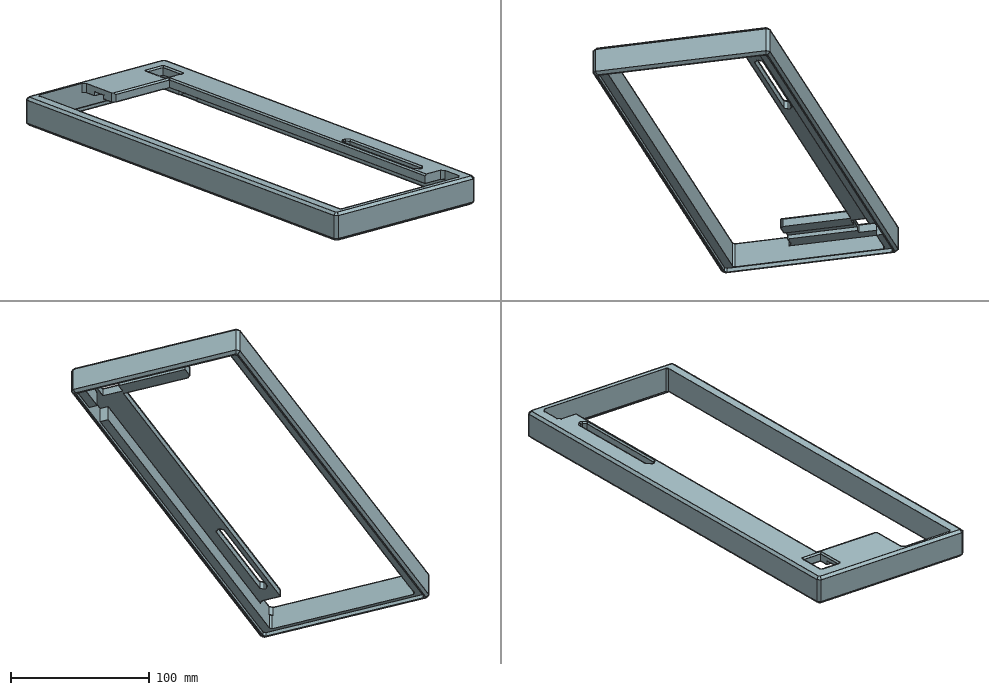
import cadquery as cq

LENGTH = 347.95
DEPTH = 132.87
HEIGHT = 21.5
HORIZONTAL_CHAMFER = 2.0
CORNER_CHAMFER = 2.2
TOP = HEIGHT / 2
BOTTOM = -TOP
RIGHT = LENGTH / 2
BACK = DEPTH / 2

LEFT_WALL = 3.9
RIGHT_WALL = 5.8
FRONT_WALL = 9.3
REAR_WALL = 9.3
OPENING_CORNER_CUT = 1.5
OPENING_LEFT = -RIGHT + LEFT_WALL
OPENING_RIGHT = RIGHT - RIGHT_WALL
OPENING_FRONT = -BACK + FRONT_WALL
OPENING_BACK = BACK - REAR_WALL

REBATE_HEIGHT = 3.0
OUTER_SKIN = 3.0
REBATE_RIGHT = RIGHT - OUTER_SKIN
REBATE_BACK = BACK - OUTER_SKIN

PLATE_THICKNESS = 7.0
PLATE_BOTTOM = TOP - PLATE_THICKNESS
PLATE_CHAMFER = 1.2
CHAMFER_ANGLE = 45
PLATE_CORNER_CUT = 2.3
SHELF_FRONT = 40.3
ARM_RIGHT = -137.6
ARM_FRONT = -13.0

NOTCH_WIDTH = 20.3
SHELF_RIGHT = OPENING_RIGHT - NOTCH_WIDTH

WINDOW_LEFT = -163.2
WINDOW_RIGHT = -139.8
WINDOW_FRONT = 38.3
WINDOW_BACK = 56.2

SLOT_LEFT = 49.4
SLOT_RIGHT = 135.7
SLOT_FRONT = 42.5
SLOT_BACK = 51.0

CHANNEL_LEFT = -158.6
CHANNEL_RIGHT = -148.5
CHANNEL_BACK = WINDOW_FRONT + PLATE_CHAMFER
CHANNEL_ROOF = 4.0

POCKET_LEFT = -146.7
POCKET_WIDTH = 20.0
POCKET_RIGHT = POCKET_LEFT + POCKET_WIDTH


def block_between(left, right, front, back, bottom, top):
    """Axis-aligned block given by its six sides."""
    size = (right - left, back - front, top - bottom)
    return cq.Workplane("XY").box(*size, centered=False).translate((left, front, bottom))


def nearest(x, y, z):
    """Selector for the edge whose centre is nearest to a point."""
    return cq.NearestToPointSelector((x, y, z))


def outer_block():
    """Block with chamfers along all its edges."""
    block = cq.Workplane("XY").box(LENGTH, DEPTH, HEIGHT).edges("|Z").chamfer(CORNER_CHAMFER)
    return block.faces("<Z or >Z").edges().chamfer(HORIZONTAL_CHAMFER)


def lower_opening():
    """Rectangular opening below the cover plate, widened by the rebate at the bottom."""
    opening = block_between(
        OPENING_LEFT, OPENING_RIGHT, OPENING_FRONT, OPENING_BACK, BOTTOM, PLATE_BOTTOM
    )
    opening = opening.edges("|Z").chamfer(OPENING_CORNER_CUT)
    rebate = block_between(
        -REBATE_RIGHT, REBATE_RIGHT, -REBATE_BACK, REBATE_BACK, BOTTOM, BOTTOM + REBATE_HEIGHT
    )
    return opening.union(rebate.edges("|Z").chamfer(OPENING_CORNER_CUT))


def upper_opening():
    """Opening left free by the shelf and the arm, through the thickness of the plate."""
    outline = [
        (OPENING_LEFT, OPENING_FRONT),
        (OPENING_RIGHT, OPENING_FRONT),
        (OPENING_RIGHT, OPENING_BACK),
        (SHELF_RIGHT, OPENING_BACK),
        (SHELF_RIGHT, SHELF_FRONT),
        (ARM_RIGHT, SHELF_FRONT),
        (ARM_RIGHT, ARM_FRONT),
        (OPENING_LEFT, ARM_FRONT),
    ]
    opening = cq.Workplane("XY").workplane(offset=PLATE_BOTTOM).polyline(outline).close()
    opening = opening.extrude(PLATE_THICKNESS)

    cut_corners = [
        (OPENING_LEFT, OPENING_FRONT, OPENING_CORNER_CUT),
        (OPENING_RIGHT, OPENING_FRONT, OPENING_CORNER_CUT),
        (OPENING_RIGHT, OPENING_BACK, PLATE_CORNER_CUT),
        (SHELF_RIGHT, OPENING_BACK, PLATE_CORNER_CUT),
        (ARM_RIGHT, ARM_FRONT, PLATE_CORNER_CUT),
        (OPENING_LEFT, ARM_FRONT, PLATE_CORNER_CUT),
    ]
    middle = (PLATE_BOTTOM + TOP) / 2
    for x, y, cut in cut_corners:
        opening = opening.edges("|Z").edges(nearest(x, y, middle)).chamfer(cut)
    return opening


def flared_cutter(left, right, front, back, corner_cut=0):
    """Cutter through the plate whose mouth at the top face is chamfered."""
    inset = PLATE_CHAMFER
    shaft = block_between(
        left + inset, right - inset, front + inset, back - inset, PLATE_BOTTOM, TOP - inset
    )
    if corner_cut:
        shaft = shaft.edges("|Z").chamfer(corner_cut)
    return shaft.faces(">Z").wires().toPending().extrude(inset, taper=-CHAMFER_ANGLE)


def plate_edge_chamfer():
    """Cutter for the chamfer along the front edge of the shelf and the right edge of the arm."""
    return flared_cutter(
        ARM_RIGHT - PLATE_CHAMFER, OPENING_RIGHT, OPENING_FRONT, SHELF_FRONT + PLATE_CHAMFER
    )


def channel():
    """Cutter for the channel in the underside of the arm."""
    return block_between(
        CHANNEL_LEFT, CHANNEL_RIGHT, ARM_FRONT, CHANNEL_BACK, PLATE_BOTTOM, TOP - CHANNEL_ROOF
    )


def rear_pocket():
    """Cutter that thins the rear wall to the outer skin below the plate."""
    return block_between(
        POCKET_LEFT, POCKET_RIGHT, OPENING_BACK, REBATE_BACK, BOTTOM, PLATE_BOTTOM
    )


window = flared_cutter(WINDOW_LEFT, WINDOW_RIGHT, WINDOW_FRONT, WINDOW_BACK)
slot = flared_cutter(SLOT_LEFT, SLOT_RIGHT, SLOT_FRONT, SLOT_BACK, PLATE_CORNER_CUT)

frame = outer_block().cut(lower_opening()).cut(upper_opening())
frame = frame.cut(plate_edge_chamfer())
result = frame.cut(window).cut(slot).cut(channel()).cut(rear_pocket())